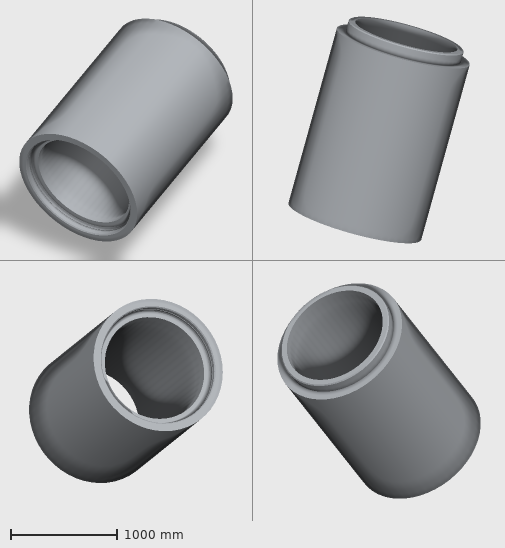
import cadquery as cq

length = 1850.0
outer_diameter = 1300.0
outer_radius = outer_diameter / 2
bore_radius = 500.0
edge_chamfer = 10.0

spigot_length = 110.0
spigot_radius = 562.0

socket_depth = 100.0
socket_radius = 568.0
groove_start = 48.0
groove_width = 18.0
groove_depth = 4.6


def revolve_about_axis(outline):
    """Turn a closed (radius, Y) outline into a solid around the Y axis."""
    return cq.Workplane("XY").polyline(outline).close().revolve(360, (0, 0, 0), (0, 1, 0))


def cylinder(radius, start, end):
    """Solid cylinder around the Y axis, from Y = start to Y = end."""
    return revolve_about_axis([(0, start), (radius, start), (radius, end), (0, end)])


def pipe_body():
    """Plain-bored barrel with a chamfered spigot."""
    shoulder = length - spigot_length
    outline = [
        (bore_radius, 0),
        (outer_radius, 0),
        (outer_radius, shoulder),
        (spigot_radius, shoulder),
        (spigot_radius, length - edge_chamfer),
        (spigot_radius - edge_chamfer, length),
        (bore_radius, length),
    ]
    return revolve_about_axis(outline)


def socket_space():
    """Space inside the socket: flared mouth, straight wall, chamfered floor corner."""
    outline = [
        (0, 0),
        (socket_radius + edge_chamfer, 0),
        (socket_radius, edge_chamfer),
        (socket_radius, socket_depth - edge_chamfer),
        (socket_radius - edge_chamfer, socket_depth),
        (0, socket_depth),
    ]
    return revolve_about_axis(outline)


def seal_groove():
    """Disc whose rim cuts the seal groove into the socket wall."""
    return cylinder(socket_radius + groove_depth, groove_start, groove_start + groove_width)


result = pipe_body().cut(socket_space()).cut(seal_groove())